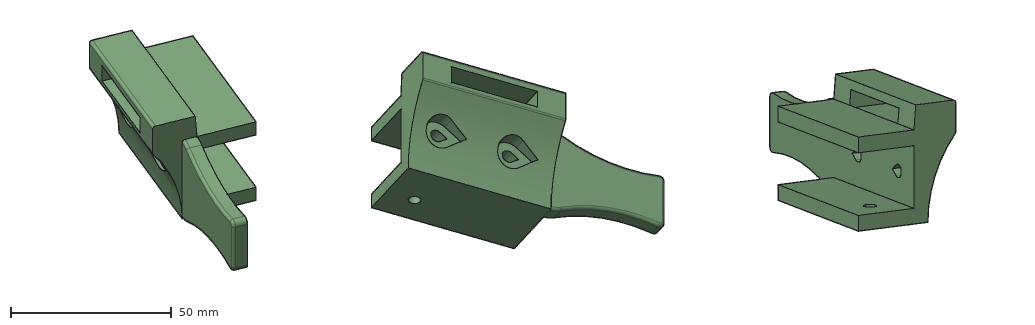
import cadquery as cq
import math

body_length = 50.0
wall = 5.0
arm_reach = 20.0
arm_gap = 20.0
height = 38.0
nose_depth = 15.0
nose_bottom_z = 27.45
nose_edge_radius = 1.0
back_taper = 0.6
arm_top_z = 2 * wall + arm_gap

slot_start_x = 10.0
slot_length = body_length - 2 * slot_start_x
slot_height = 5.85
slot_top_gap = 3.0

hole_xs = (10.0, 35.0)
hole_z = wall + arm_gap / 2
head_radius = 5.0
head_tip = 9.0
shank_radius = 2.1
shank_tip = 3.5

pin_radius = 2.0
pin_x = 10.0
pin_y = 10.0

overall_length = 90
handle_length = overall_length - body_length
handle_mid_z = arm_top_z / 2
shoulder_length = 3.7
shoulder_half = 14.2
shoulder_mid_half = 14.85
neck_x = 70.6
neck_half = 9.2
tip_half = 9.9
tip_radius = 1.8
handle_edge = 1.0


def body():
    """Two-armed bracket with a hollow-ground front and an overhanging nose."""
    run = nose_depth - wall
    front_radius = (run**2 + nose_bottom_z**2) / (2 * run)
    mid_z = nose_bottom_z / 2
    mid_y = -wall - front_radius + math.sqrt(front_radius**2 - mid_z**2)
    profile = (
        cq.Workplane("YZ")
        .moveTo(arm_reach, 0)
        .lineTo(-wall, 0)
        .threePointArc((mid_y, mid_z), (-nose_depth, nose_bottom_z))
        .lineTo(-nose_depth, height)
        .lineTo(-back_taper, height)
        .lineTo(0, arm_top_z)
        .lineTo(arm_reach, arm_top_z)
        .lineTo(arm_reach, arm_top_z - wall)
        .lineTo(0, arm_top_z - wall)
        .lineTo(0, wall)
        .lineTo(arm_reach, wall)
        .close()
    )
    block = profile.extrude(body_length)
    block = block.edges("|X and >Z and <Y").fillet(nose_edge_radius)
    nose_edge = cq.selectors.NearestToPointSelector((body_length / 2, -nose_depth, nose_bottom_z))
    return block.edges(nose_edge).fillet(nose_edge_radius)


def handle():
    """Flat waisted grip extending the web, rounded around its front face."""
    end_x = body_length + handle_length
    shoulder_x = body_length + shoulder_length
    top, bottom = arm_top_z, 0
    outline = (
        cq.Workplane("XZ")
        .moveTo(body_length, top)
        .threePointArc((body_length + shoulder_length / 2, handle_mid_z + shoulder_mid_half),
                       (shoulder_x, handle_mid_z + shoulder_half))
        .threePointArc((neck_x, handle_mid_z + neck_half), (end_x, handle_mid_z + tip_half))
        .lineTo(end_x, handle_mid_z - tip_half)
        .threePointArc((neck_x, handle_mid_z - neck_half), (shoulder_x, handle_mid_z - shoulder_half))
        .threePointArc((body_length + shoulder_length / 2, handle_mid_z - shoulder_mid_half),
                       (body_length, bottom))
        .close()
    )
    grip = outline.extrude(wall).edges("|Y and >X").fillet(tip_radius)
    return grip.faces("<Y").edges("not <X").fillet(handle_edge)


def teardrop(x, radius, tip, web_depth):
    """Cutter running forward from Y = -web_depth, with its point towards +X."""
    tangent = math.acos(radius / tip)
    tangent_x = x + radius * math.cos(tangent)
    tangent_z = radius * math.sin(tangent)
    return (
        cq.Workplane("XZ", origin=(0, -web_depth, 0))
        .moveTo(x + tip, hole_z)
        .lineTo(tangent_x, hole_z + tangent_z)
        .threePointArc((x - radius, hole_z), (tangent_x, hole_z - tangent_z))
        .close()
        .extrude(nose_depth)
    )


slot = cq.Workplane("XY").box(slot_length, nose_depth, slot_height, centered=False).translate(
    (slot_start_x, -nose_depth, height - slot_top_gap - slot_height)
)
pin_hole = cq.Workplane("XY").center(pin_x, pin_y).circle(pin_radius).extrude(wall)

result = body().union(handle()).cut(slot).cut(pin_hole)
for hole_x in hole_xs:
    result = result.cut(teardrop(hole_x, head_radius, head_tip, wall))
    result = result.cut(teardrop(hole_x, shank_radius, shank_tip, 0))